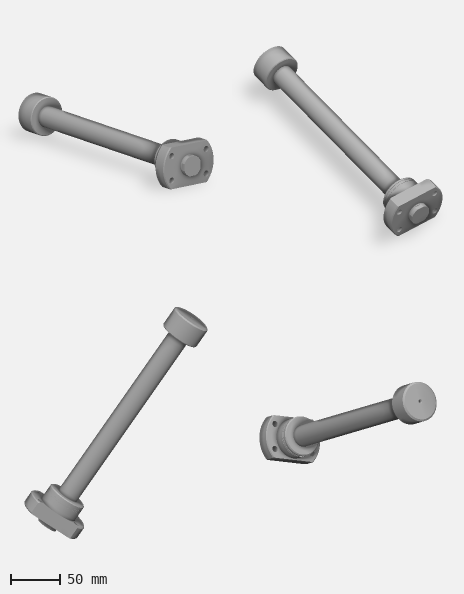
import cadquery as cq

length = 263.0
head_length = 22.4
head_diameter = 40.8
head_face_bevel_axial = 1.3
head_face_bevel_radial = 1.8
head_back_chamfer = 0.8
rod_diameter = 22.0
tip_diameter = 21.8
tip_length = 4.5
tip_taper_length = 0.8
tip_across_flats = 20.5
tip_flat_count = 4
center_hole_diameter = 2.0
center_hole_mouth_diameter = 4.5
center_hole_depth = 5.3

collar_diameter = head_diameter
collar_start = 225.0
collar_chamfer = 1.0
groove_depth = 0.4
wide_groove_start = 228.3
wide_groove_width = 1.5
narrow_groove_start = 231.5
narrow_groove_width = 0.5
flange_start = 242.5
flange_thickness = 14.5
flange_diameter = 65.0
flange_width = 44.0
flange_chamfer = 1.0
bolt_hole_diameter = 6.3
bolt_spacing_y = 44.2
bolt_spacing_z = 25.8

flange_end = flange_start + flange_thickness
tip_start = length - tip_length


def revolve_profile(points):
    """Turn a closed (x, radius) profile about the X axis."""
    return cq.Workplane("XY").polyline(points).close().revolve(360, (0, 0, 0), (1, 0, 0))


def disc(start, thickness, diameter):
    """Solid cylinder along X."""
    return cq.Workplane("YZ", origin=(start, 0, 0)).circle(diameter / 2).extrude(thickness)


def make_tip():
    """Short round end with evenly spaced flats."""
    tip = disc(tip_start, tip_length, tip_diameter)
    for i in range(tip_flat_count // 2):
        slab = (
            cq.Workplane("XY")
            .box(tip_length, tip_across_flats, tip_diameter)
            .translate((tip_start + tip_length / 2, 0, 0))
            .rotate((0, 0, 0), (1, 0, 0), i * 360 / tip_flat_count)
        )
        tip = tip.intersect(slab)
    return tip


def make_center_hole():
    """Drilled centre with a 45 degree countersunk mouth."""
    mouth_radius = center_hole_mouth_diameter / 2
    hole_radius = center_hole_diameter / 2
    return revolve_profile([
        (0, 0),
        (0, mouth_radius),
        (mouth_radius - hole_radius, hole_radius),
        (center_hole_depth, hole_radius),
        (center_hole_depth, 0),
    ])


def make_shaft():
    """Rod with a bevelled head at one end and the flatted tip at the other."""
    head_radius = head_diameter / 2
    rod_radius = rod_diameter / 2
    turned = revolve_profile([
        (0, 0),
        (0, head_radius - head_face_bevel_radial),
        (head_face_bevel_axial, head_radius),
        (head_length - head_back_chamfer, head_radius),
        (head_length, head_radius - head_back_chamfer),
        (head_length, rod_radius),
        (tip_start - tip_taper_length, rod_radius),
        (tip_start, tip_diameter / 2),
        (tip_start, 0),
    ])
    return turned.union(make_tip()).cut(make_center_hole())


def make_flange():
    """Chamfered disc with two parallel sides and four bolt holes."""
    flange = disc(flange_start, flange_thickness, flange_diameter).edges().chamfer(flange_chamfer)
    slab = (
        cq.Workplane("XY")
        .box(flange_thickness, flange_diameter, flange_width)
        .translate((flange_start + flange_thickness / 2, 0, 0))
    )
    bolt_holes = (
        cq.Workplane("YZ", origin=(flange_start, 0, 0))
        .rarray(bolt_spacing_y, bolt_spacing_z, 2, 2)
        .circle(bolt_hole_diameter / 2)
        .extrude(flange_thickness)
    )
    return flange.intersect(slab).cut(bolt_holes)


def make_groove(start, width):
    """Ring to cut from the outside of the collar."""
    return disc(start, width, collar_diameter).cut(disc(start, width, collar_diameter - 2 * groove_depth))


def make_collar():
    """Round collar with a chamfered nose and two shallow grooves."""
    collar = disc(collar_start, flange_start - collar_start, collar_diameter)
    collar = collar.faces("<X").edges().chamfer(collar_chamfer)
    wide_groove = make_groove(wide_groove_start, wide_groove_width)
    narrow_groove = make_groove(narrow_groove_start, narrow_groove_width)
    return collar.cut(wide_groove).cut(narrow_groove)


def make_bushing():
    """Collar and flange with a bore that fits the rod."""
    rod_bore = disc(collar_start, flange_end - collar_start, rod_diameter)
    return make_collar().union(make_flange()).cut(rod_bore)


shaft = make_shaft()
bushing = make_bushing()

result = cq.Compound.makeCompound([shaft.val(), bushing.val()])